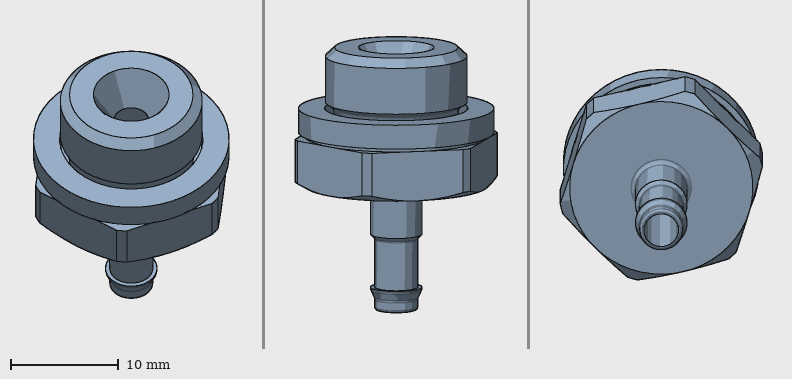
import cadquery as cq
import math

total_height = 24.7
barb_bottom = 1.09
barb_shoulder = 1.93
barb_top = 2.12
sleeve_bottom = 7.11
hex_bottom = 11.7
hex_top = 16.35
ring_bottom = 16.72
ring_top = 18.97
thread_bottom = 19.56

bore_diameter = 3.2
hose_radius = 4.0 / 2
sleeve_radius = 4.8 / 2
sleeve_cone_height = sleeve_radius - hose_radius
tip_rounding = 0.25
barb_root_rounding = 0.55
barb_lip_rounding = 0.37
sleeve_step_rounding = 0.2
stem_root_rounding = 0.4

across_flats = 17.0
corner_diameter = 19.1
hex_chamfer_angle = 30

ring_diameter = 18.15
gap_diameter = 13.3

thread_radius = 13.17 / 2
neck_radius = 5.78
neck_cone_angle = 30
neck_rounding = 0.65
thread_chamfer_width = 0.86
thread_chamfer_height = 0.82
countersink_diameter = 7.01
countersink_half_angle = 30


def revolve_profile(points):
    """Turn a closed (radius, height) outline around the Z axis."""
    outline = cq.Workplane("XZ").polyline(points).close()
    return outline.revolve(360, (0, 0, 0), (0, 1, 0))


def cylinder(radius, bottom, top):
    return cq.Workplane("XY").workplane(offset=bottom).circle(radius).extrude(top - bottom)


def round_circle(body, radius, height, rounding):
    """Fillet the circular edge that has this radius and height."""
    def is_wanted(edge):
        same_height = abs(edge.Center().z - height) < 0.002
        return same_height and abs(edge.radius() - radius) < 0.002

    return body.edges("%CIRCLE").filter(is_wanted).fillet(rounding)


def make_hexagon():
    circumscribed_diameter = across_flats / math.cos(math.radians(30))
    prism = (
        cq.Workplane("XY", origin=(0, 0, hex_bottom))
        .transformed(rotate=(0, 0, 30))
        .polygon(6, circumscribed_diameter)
        .extrude(hex_top - hex_bottom)
    )
    flat_radius = across_flats / 2
    corner_radius = corner_diameter / 2
    chamfer_height = (corner_radius - flat_radius) * math.tan(math.radians(hex_chamfer_angle))
    blank = revolve_profile([
        (0, hex_bottom),
        (flat_radius, hex_bottom),
        (corner_radius, hex_bottom + chamfer_height),
        (corner_radius, hex_top),
        (0, hex_top),
    ])
    return prism.intersect(blank)


def make_stem():
    return revolve_profile([
        (0, 0),
        (hose_radius, 0),
        (hose_radius, barb_bottom),
        (sleeve_radius, barb_shoulder),
        (sleeve_radius, barb_top),
        (hose_radius, barb_top),
        (hose_radius, sleeve_bottom - sleeve_cone_height),
        (sleeve_radius, sleeve_bottom),
        (sleeve_radius, hex_bottom),
        (0, hex_bottom),
    ])


def make_ring():
    ring = cylinder(ring_diameter / 2, ring_bottom, ring_top)
    return ring.cut(cylinder(gap_diameter / 2, ring_bottom, ring_top))


def make_threaded_end():
    cone_height = (thread_radius - neck_radius) * math.tan(math.radians(neck_cone_angle))
    cone_bottom = thread_bottom - cone_height
    plug = revolve_profile([
        (0, ring_bottom),
        (neck_radius, ring_bottom),
        (neck_radius, cone_bottom),
        (thread_radius, thread_bottom),
        (thread_radius, total_height - thread_chamfer_height),
        (thread_radius - thread_chamfer_width, total_height),
        (0, total_height),
    ])
    return round_circle(plug, neck_radius, cone_bottom, neck_rounding)


def make_bore():
    bore_radius = bore_diameter / 2
    countersink_radius = countersink_diameter / 2
    countersink_depth = (countersink_radius - bore_radius) / math.tan(math.radians(countersink_half_angle))
    return revolve_profile([
        (0, 0),
        (bore_radius, 0),
        (bore_radius, total_height - countersink_depth),
        (countersink_radius, total_height),
        (0, total_height),
    ])


body = make_hexagon().union(make_stem())
body = round_circle(body, hose_radius, 0, tip_rounding)
body = round_circle(body, hose_radius, barb_bottom, barb_root_rounding)
body = round_circle(body, sleeve_radius, barb_shoulder, barb_lip_rounding)
body = round_circle(body, hose_radius, sleeve_bottom - sleeve_cone_height, sleeve_step_rounding)
body = round_circle(body, sleeve_radius, hex_bottom, stem_root_rounding)

collar = cylinder(across_flats / 2, hex_top, ring_bottom)
body = body.union(collar).union(make_ring()).union(make_threaded_end())

result = body.cut(make_bore())